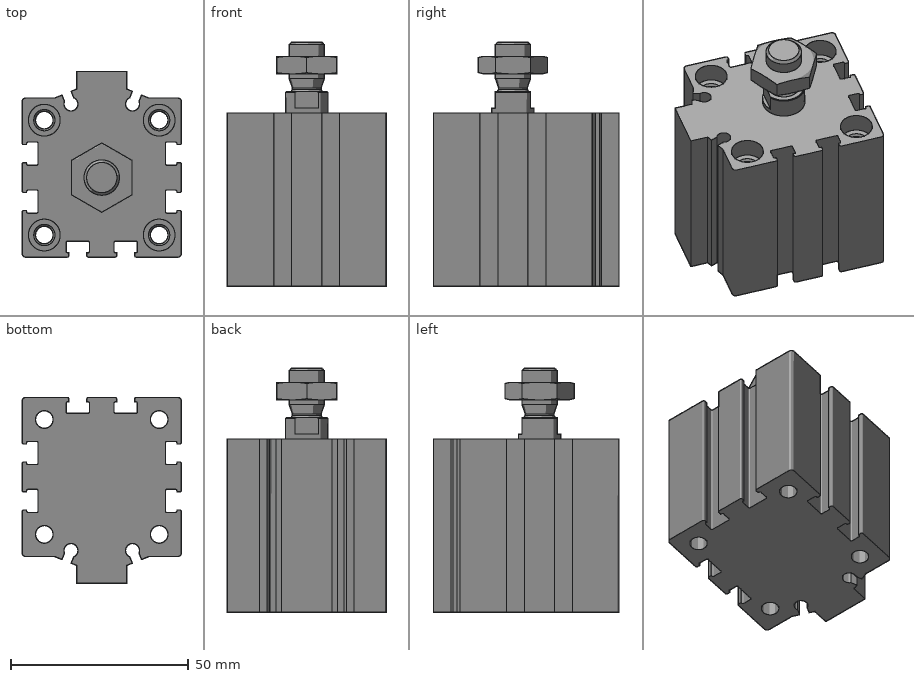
import cadquery as cq
import math

BODY_SIDE = 45.0
BODY_HEIGHT = 49.0
BODY_CORNER_RADIUS = 1.05
HALF_SIDE = BODY_SIDE / 2

BLOCK_WIDTH = 14.2
BLOCK_END_Y = 30.0
SHOULDER_ANGLE = 22.0
SHOULDER_START_X = 13.3
SHOULDER_RISE = (SHOULDER_START_X - BLOCK_WIDTH / 2) * math.tan(math.radians(SHOULDER_ANGLE))

SENSOR_GROOVE_X = 8.7
SENSOR_GROOVE_Y = 20.8
SENSOR_GROOVE_DIAMETER = 3.85
SENSOR_MOUTH_WIDTH = 2.75
SENSOR_MOUTH_LENGTH = 5.5

T_SLOT_OFFSET = 6.75
T_SLOT_MOUTH_WIDTH = 5.05
T_SLOT_WIDTH = 6.5
T_SLOT_DEPTH = 4.5
T_SLOT_LIP = 1.3
T_SLOT_MOUTH_RADIUS = 0.5
T_SLOT_CORNER_RADIUS = 0.35

HOLE_OFFSET = 16.2
HOLE_DIAMETER = 4.9
HOLE_CHAMFER_DIAMETER = 6.0
COUNTERBORE_DIAMETER = 9.0
COUNTERBORE_DEPTH = 5.65

ROD_DIAMETER = 12.0
ROD_ACROSS_FLATS = 10.0
FLAT_START_Z = BODY_HEIGHT + 1.4
COLLAR_TOP_Z = 55.0
COLLAR_CHAMFER = 0.2
NECK_DIAMETER = 8.2
NECK_FOOT_DIAMETER = 9.0
NECK_START_Z = 55.6
NECK_END_Z = 56.1
THREAD_DIAMETER = 10.0
THREAD_START_Z = 58.7
ROD_TOP_Z = 69.0
TIP_DIAMETER = 8.55

NUT_ACROSS_FLATS = 17.0
NUT_BOTTOM_Z = 60.0
NUT_HEIGHT = 5.0
NUT_CHAMFER_ANGLE = 15.0


def housing_blank():
    """Square column with the connection block and its sloped shoulders."""
    column = (
        cq.Workplane("XY")
        .rect(BODY_SIDE, BODY_SIDE)
        .extrude(BODY_HEIGHT)
        .edges("|Z")
        .fillet(BODY_CORNER_RADIUS)
    )
    half_block = BLOCK_WIDTH / 2
    shoulder_top = HALF_SIDE + SHOULDER_RISE
    block = (
        cq.Workplane("XY")
        .moveTo(-SHOULDER_START_X, 0)
        .lineTo(-SHOULDER_START_X, HALF_SIDE)
        .lineTo(-half_block, shoulder_top)
        .lineTo(-half_block, BLOCK_END_Y)
        .lineTo(half_block, BLOCK_END_Y)
        .lineTo(half_block, shoulder_top)
        .lineTo(SHOULDER_START_X, HALF_SIDE)
        .lineTo(SHOULDER_START_X, 0)
        .close()
        .extrude(BODY_HEIGHT)
    )
    return column.union(block)


def t_slot(side_angle, offset):
    """T-slot cutter for the -Y side, turned about Z to another side."""
    half_mouth = T_SLOT_MOUTH_WIDTH / 2
    radius = T_SLOT_MOUTH_RADIUS
    side_y = -HALF_SIDE
    lip_y = side_y + T_SLOT_LIP
    channel_depth = T_SLOT_DEPTH - T_SLOT_LIP
    round_mid = radius * (1 - math.sqrt(0.5))
    mouth = (
        cq.Workplane("XY")
        .moveTo(-half_mouth - radius, side_y)
        .threePointArc((-half_mouth - round_mid, side_y + round_mid), (-half_mouth, side_y + radius))
        .lineTo(-half_mouth, lip_y)
        .lineTo(half_mouth, lip_y)
        .lineTo(half_mouth, side_y + radius)
        .threePointArc((half_mouth + round_mid, side_y + round_mid), (half_mouth + radius, side_y))
        .close()
        .extrude(BODY_HEIGHT)
    )
    channel = (
        cq.Workplane("XY")
        .center(0, lip_y + channel_depth / 2)
        .rect(T_SLOT_WIDTH, channel_depth)
        .extrude(BODY_HEIGHT)
        .edges("|Z")
        .fillet(T_SLOT_CORNER_RADIUS)
    )
    cutter = mouth.union(channel)
    return cutter.translate((offset, 0, 0)).rotate((0, 0, 0), (0, 0, 1), side_angle)


def sensor_groove(side):
    """Sensor groove cutter; side is -1 for the -X flank and +1 for the +X flank."""
    round_bottom = cq.Workplane("XY").circle(SENSOR_GROOVE_DIAMETER / 2).extrude(BODY_HEIGHT)
    mouth = (
        cq.Workplane("XY")
        .center(0, SENSOR_MOUTH_LENGTH / 2)
        .rect(SENSOR_MOUTH_WIDTH, SENSOR_MOUTH_LENGTH)
        .extrude(BODY_HEIGHT)
    )
    upright_groove = round_bottom.union(mouth)
    tilted_groove = upright_groove.rotate((0, 0, 0), (0, 0, 1), -side * SHOULDER_ANGLE)
    return tilted_groove.translate((side * SENSOR_GROOVE_X, SENSOR_GROOVE_Y, 0))


def mounting_hole(x, y):
    """Through hole with a 45-degree countersink below its counterbore."""
    hole_radius = HOLE_DIAMETER / 2
    chamfer_radius = HOLE_CHAMFER_DIAMETER / 2
    bore_radius = COUNTERBORE_DIAMETER / 2
    floor_z = BODY_HEIGHT - COUNTERBORE_DEPTH
    profile = [
        (0, 0),
        (hole_radius, 0),
        (hole_radius, floor_z - (chamfer_radius - hole_radius)),
        (chamfer_radius, floor_z),
        (bore_radius, floor_z),
        (bore_radius, BODY_HEIGHT),
        (0, BODY_HEIGHT),
    ]
    cutter = cq.Workplane("XZ").polyline(profile).close().revolve(360, (0, 0, 0), (0, 1, 0))
    return cutter.translate((x, y, 0))


def make_housing():
    housing = housing_blank()
    for side_angle in (-90, 0, 90):
        for offset in (-T_SLOT_OFFSET, T_SLOT_OFFSET):
            housing = housing.cut(t_slot(side_angle, offset))
    for side in (-1, 1):
        housing = housing.cut(sensor_groove(side))
    for x in (-HOLE_OFFSET, HOLE_OFFSET):
        for y in (-HOLE_OFFSET, HOLE_OFFSET):
            housing = housing.cut(mounting_hole(x, y))
    return housing


def make_rod():
    """Turned rod standing on the housing, with two wrench flats facing -Y and +Y."""
    rod_radius = ROD_DIAMETER / 2
    thread_radius = THREAD_DIAMETER / 2
    neck_radius = NECK_DIAMETER / 2
    tip_radius = TIP_DIAMETER / 2
    profile = [
        (0, BODY_HEIGHT),
        (rod_radius, BODY_HEIGHT),
        (rod_radius, COLLAR_TOP_Z - COLLAR_CHAMFER),
        (rod_radius - COLLAR_CHAMFER, COLLAR_TOP_Z),
        (NECK_FOOT_DIAMETER / 2, COLLAR_TOP_Z),
        (neck_radius, NECK_START_Z),
        (neck_radius, NECK_END_Z),
        (thread_radius, THREAD_START_Z),
        (thread_radius, ROD_TOP_Z - (thread_radius - tip_radius)),
        (tip_radius, ROD_TOP_Z),
        (0, ROD_TOP_Z),
    ]
    rod = cq.Workplane("XZ").polyline(profile).close().revolve(360, (0, 0, 0), (0, 1, 0))
    flat_height = COLLAR_TOP_Z - FLAT_START_Z
    flat_stock = (
        cq.Workplane("XY", origin=(0, 0, FLAT_START_Z))
        .rect(ROD_DIAMETER, 2 * ROD_DIAMETER)
        .rect(ROD_DIAMETER, ROD_ACROSS_FLATS)
        .extrude(flat_height)
    )
    return rod.cut(flat_stock)


def make_nut():
    """Hexagon nut with corners towards -Y and +Y, both ends turned to a shallow cone."""
    corner_radius = NUT_ACROSS_FLATS / math.sqrt(3)
    flat_radius = NUT_ACROSS_FLATS / 2
    corner_drop = (corner_radius - flat_radius) * math.tan(math.radians(NUT_CHAMFER_ANGLE))
    nut_top_z = NUT_BOTTOM_Z + NUT_HEIGHT
    hexagon = (
        cq.Workplane("XY", origin=(0, 0, NUT_BOTTOM_Z))
        .polygon(6, 2 * corner_radius)
        .extrude(NUT_HEIGHT)
        .rotate((0, 0, 0), (0, 0, 1), 30)
    )
    turned_profile = [
        (THREAD_DIAMETER / 2, NUT_BOTTOM_Z),
        (flat_radius, NUT_BOTTOM_Z),
        (corner_radius, NUT_BOTTOM_Z + corner_drop),
        (corner_radius, nut_top_z - corner_drop),
        (flat_radius, nut_top_z),
        (THREAD_DIAMETER / 2, nut_top_z),
    ]
    turned = cq.Workplane("XZ").polyline(turned_profile).close().revolve(360, (0, 0, 0), (0, 1, 0))
    return hexagon.intersect(turned)


housing = make_housing()
rod = make_rod()
nut = make_nut()

result = cq.Compound.makeCompound([housing.val(), rod.val(), nut.val()])